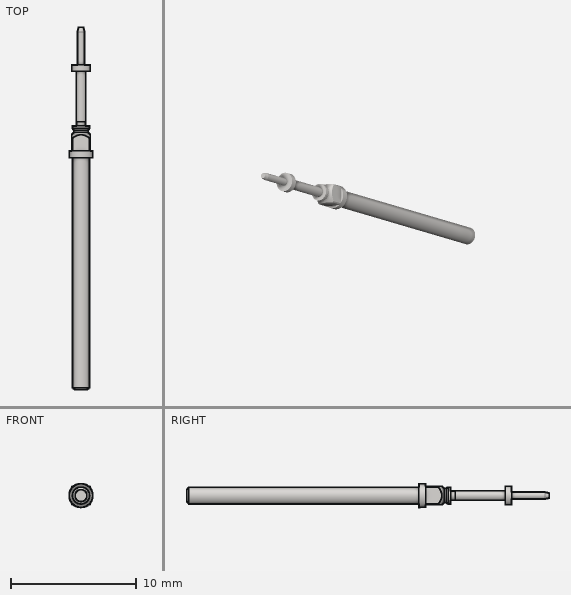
import cadquery as cq

length = 28.9
flange_diameter = 1.9

barrel_diameter = 1.35
ring_diameter = 1.35
groove_diameter = 1.18
neck_diameter = 0.75
rod_diameter = 0.78
collar_diameter = 1.5
tip_diameter = 0.58

square_width = 1.5
square_corner_diameter = 2.0
shoulder_diameter = 1.35

barrel_length = 18.5
flange_length = 0.55
square_length = 1.35
shoulder_length = 0.12
groove_length = 0.17
ring_taper_length = 0.15
ring_length = 0.2
neck_length = 0.35
rod_length = 4.0
collar_length = 0.52

barrel_chamfer = 0.17
barrel_end_diameter = 0.95
tip_chamfer_length = 0.35
tip_chamfer_width = 0.1

barrel_end = -length / 2
flange_start = barrel_end + barrel_length
square_start = flange_start + flange_length
square_end = square_start + square_length
groove_start = square_end + shoulder_length
ring_start = groove_start + groove_length
ring_end = ring_start + ring_taper_length + ring_length
rod_start = ring_end + neck_length
collar_start = rod_start + rod_length
tip_start = collar_start + collar_length
tip_end = length / 2


def revolve_profile(points):
    """Revolve (radius, y) points, closed along the axis, about Y."""
    start = (0, points[0][1])
    end = (0, points[-1][1])
    return (
        cq.Workplane("XY")
        .polyline([start] + points + [end])
        .close()
        .revolve(360, (0, 0, 0), (0, 1, 0))
    )


def cylinder(diameter, start, end):
    """Solid cylinder along Y between two stations."""
    return revolve_profile([(diameter / 2, start), (diameter / 2, end)])


def make_barrel():
    radius = barrel_diameter / 2
    return revolve_profile([
        (barrel_end_diameter / 2, barrel_end),
        (radius, barrel_end + barrel_chamfer),
        (radius, flange_start),
    ])


def make_square():
    """Square bar trimmed by a turned envelope with a 45 degree nose."""
    nose_length = (square_corner_diameter - shoulder_diameter) / 2
    bar = cq.Workplane("XY").box(square_width, square_length, square_width)
    bar = bar.translate((0, (square_start + square_end) / 2, 0))
    envelope = revolve_profile([
        (square_corner_diameter / 2, square_start),
        (square_corner_diameter / 2, square_end - nose_length),
        (shoulder_diameter / 2, square_end),
    ])
    return bar.intersect(envelope)


def make_shoulder():
    return revolve_profile([
        (shoulder_diameter / 2, square_end),
        (groove_diameter / 2, groove_start),
    ])


def make_ring():
    """Ring with a tapered flank rising from the groove."""
    radius = ring_diameter / 2
    return revolve_profile([
        (groove_diameter / 2, ring_start),
        (radius, ring_start + ring_taper_length),
        (radius, ring_end),
    ])


def make_tip():
    radius = tip_diameter / 2
    return revolve_profile([
        (radius, tip_start),
        (radius, tip_end - tip_chamfer_length),
        (radius - tip_chamfer_width, tip_end),
    ])


result = (
    make_barrel()
    .union(cylinder(flange_diameter, flange_start, square_start))
    .union(make_square())
    .union(make_shoulder())
    .union(cylinder(groove_diameter, groove_start, ring_start))
    .union(make_ring())
    .union(cylinder(neck_diameter, ring_end, rod_start))
    .union(cylinder(rod_diameter, rod_start, collar_start))
    .union(cylinder(collar_diameter, collar_start, tip_start))
    .union(make_tip())
)